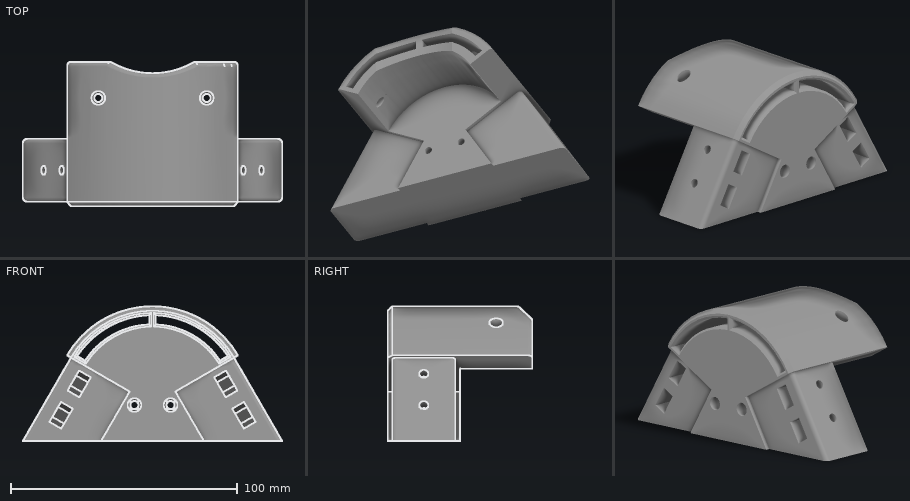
import cadquery as cq
import math

total_height = 59.71
total_length = 64.0
base_width = 114.81

shell_outer_radius = 44.0
shell_inner_radius = 32.0
shell_edge = 2.0
shell_end_angle = 30.0
shell_end_clearance = 0.25

slot_inner_radius = 36.0
slot_outer_radius = 40.0
slot_end_wall = 2.0
slot_mouth_chamfer = 1.0
centre_rib = 3.0

web_thickness = 32.0

arm_inner_distance = 12.0
arm_outer_distance = 42.0
arm_front = 2.0
arm_back = 30.0
arm_edge_radius = 2.0

arm_screw_diameter = 4.0
arm_screw_stations = (8.0, 24.0)
nut_sides = 6
nut_across_corners = 10.2
nut_slot_thickness = 6.0
nut_slot_distance = 33.0

screw_diameter = 3.5
screw_head_diameter = 6.0
web_screw_x = 8.0
web_screw_z = 15.95
web_screw_step_depth = 0.4
shell_screw_x = 24.0
shell_screw_y = 48.0
shell_screw_head_z = 39.6

saddle_radius = 37.0
saddle_bottom_y = 59.0

end_angle = math.radians(shell_end_angle)
radial = (math.cos(end_angle), math.sin(end_angle))
along_arm = (math.sin(end_angle), -math.cos(end_angle))
arc_middle_angle = (end_angle + math.pi / 2) / 2
arm_middle_y = (arm_front + arm_back) / 2
web_screw_head_depth = web_thickness / 2
margin = 1.0

axis_z = total_height - shell_outer_radius
axis_x = base_width / 2 - (arm_outer_distance + axis_z * radial[1]) / radial[0]


def side_point(distance, along):
    """(x, z) at a distance out along the radial line, then a distance down the arm."""
    x = axis_x + distance * radial[0] + along * along_arm[0]
    z = axis_z + distance * radial[1] + along * along_arm[1]
    return (x, z)


def foot_point(distance):
    """(x, z) where the line along the arm at this distance from the axis meets the base."""
    run = side_point(distance, 0)[1] / radial[0]
    return side_point(distance, run)


def arc_end(radius, offset):
    """(x, z) on an arc of the shell, at an offset above the radial line."""
    return side_point(math.sqrt(radius**2 - offset**2), -offset)


def arc_middle(radius):
    """(x, z) on an arc of the shell, halfway round."""
    x = axis_x + radius * math.cos(arc_middle_angle)
    z = axis_z + radius * math.sin(arc_middle_angle)
    return (x, z)


def arc_at_x(radius, x):
    """(x, z) where an arc of the shell reaches the given x near the crown."""
    return (x, axis_z + math.sqrt(radius**2 - (x - axis_x)**2))


def profile(y):
    """Drawing plane of constant y, with x and z as its coordinates."""
    return cq.Workplane("XZ", origin=(0, y, 0))


def prism(sketch, length):
    """Extrude a profile toward +Y."""
    return sketch.extrude(-length)


def arc_band(y, inner_radius, outer_radius, end_offset, start_x):
    """Curved strip between two arcs, from start_x near the crown to the radial end."""
    return (
        profile(y)
        .moveTo(*arc_end(inner_radius, end_offset))
        .lineTo(*arc_end(outer_radius, end_offset))
        .threePointArc(arc_middle(outer_radius), arc_at_x(outer_radius, start_x))
        .lineTo(*arc_at_x(inner_radius, start_x))
        .threePointArc(arc_middle(inner_radius), arc_end(inner_radius, end_offset))
        .close()
    )


def radial_plane(distance, along):
    """Plane facing out along the radial line, with local x down the arm and local y to the rear."""
    x, z = side_point(distance, along)
    origin = (x, arm_middle_y, z)
    down_arm = (along_arm[0], 0, along_arm[1])
    outward = (radial[0], 0, radial[1])
    return cq.Workplane(cq.Plane(origin=origin, xDir=down_arm, normal=outward))


def is_skin_curve(edge):
    """True for a curved edge that lies on the outer skin of the shell."""
    point = edge.positionAt(0.5)
    radius = math.hypot(point.x - axis_x, point.z - axis_z)
    return edge.geomType() != "LINE" and radius > shell_outer_radius - margin


def shell():
    """Half of the arched cover, scooped at the rear and eased along its outer skin."""
    band = arc_band(0, shell_inner_radius, shell_outer_radius, shell_end_clearance, 0)
    body = prism(band, total_length)
    saddle = (
        cq.Workplane("XY")
        .center(0, saddle_bottom_y + saddle_radius)
        .circle(saddle_radius)
        .extrude(total_height + margin)
    )
    body = body.cut(saddle)

    curves = [edge for edge in body.edges().vals() if is_skin_curve(edge)]
    front = [edge for edge in curves if edge.Center().y < web_thickness]
    body = body.newObject(front).chamfer(shell_edge)

    curves = [edge for edge in body.edges().vals() if is_skin_curve(edge)]
    rear = [edge for edge in curves if edge.Center().y > web_thickness]
    return body.newObject(rear).fillet(shell_edge)


def web():
    """Half of the thick plate that closes the front of the arch and reaches the base."""
    rim_radius = (slot_inner_radius + shell_inner_radius) / 2
    sketch = (
        profile(0)
        .moveTo(*arc_at_x(rim_radius, 0))
        .threePointArc(arc_middle(rim_radius), arc_end(rim_radius, shell_end_clearance))
        .lineTo(*side_point(arm_inner_distance, -shell_end_clearance))
        .lineTo(*foot_point(arm_inner_distance))
        .lineTo(0, 0)
        .close()
    )
    return prism(sketch, web_thickness)


def arm():
    """Slanted arm, cut level with the base and rounded along its outer long edges."""
    root_distance = arm_inner_distance - margin
    sketch = (
        profile(arm_front)
        .moveTo(*side_point(root_distance, -shell_end_clearance))
        .lineTo(*side_point(arm_outer_distance, -shell_end_clearance))
        .lineTo(*foot_point(arm_outer_distance))
        .lineTo(*foot_point(root_distance))
        .close()
    )
    body = prism(sketch, arm_back - arm_front)
    outward = cq.Vector(radial[0], 0, radial[1])
    down_arm = cq.Vector(along_arm[0], 0, along_arm[1])
    outer_face = body.faces(cq.selectors.DirectionMinMaxSelector(outward, True))
    return outer_face.edges(cq.selectors.ParallelDirSelector(down_arm)).fillet(arm_edge_radius)


def curved_slot():
    """Slot along the whole arch, flared at its front mouth."""
    def outline(y, flare):
        return arc_band(
            y,
            slot_inner_radius - flare,
            slot_outer_radius + flare,
            shell_end_clearance + slot_end_wall - flare,
            centre_rib / 2 - flare,
        )

    bore = prism(outline(0, 0), total_length)
    mouth = outline(0, slot_mouth_chamfer).val()
    throat = outline(slot_mouth_chamfer, 0).val()
    return bore.union(cq.Workplane(cq.Solid.makeLoft([mouth, throat], True)))


def arm_fastener(along):
    """Screw hole from the outer arm face into a hexagonal nut slot open at the front."""
    screw_length = arm_outer_distance - nut_slot_distance + margin
    screw_plane = radial_plane(nut_slot_distance, along)
    screw = screw_plane.circle(arm_screw_diameter / 2).extrude(screw_length)
    slot_plane = radial_plane(nut_slot_distance - nut_slot_thickness / 2, along)
    seat = slot_plane.polygon(nut_sides, nut_across_corners).extrude(nut_slot_thickness)
    entry = (
        slot_plane.center(0, -arm_middle_y / 2)
        .rect(nut_across_corners, arm_middle_y)
        .extrude(nut_slot_thickness)
    )
    return screw.union(seat).union(entry)


def web_screw():
    """Counterbored hole through the web, with two bridging steps under the head."""
    def at_screw():
        return profile(0).center(web_screw_x, web_screw_z)

    slit_depth = web_screw_head_depth + web_screw_step_depth
    square_depth = slit_depth + web_screw_step_depth
    hole = prism(at_screw().circle(screw_diameter / 2), web_thickness)
    head = prism(at_screw().circle(screw_head_diameter / 2), web_screw_head_depth)
    slit = prism(at_screw().rect(screw_diameter, screw_head_diameter), slit_depth)
    slit = slit.intersect(prism(at_screw().circle(screw_head_diameter / 2), slit_depth))
    square = prism(at_screw().rect(screw_diameter, screw_diameter), square_depth)
    return hole.union(head).union(slit).union(square)


def shell_screw():
    """Upright counterbored screw hole through the arch, behind the web."""
    base = cq.Workplane("XY", origin=(shell_screw_x, shell_screw_y, 0))
    hole = base.circle(screw_diameter / 2).extrude(total_height)
    head = (
        base.workplane(offset=shell_screw_head_z)
        .circle(screw_head_diameter / 2)
        .extrude(total_height - shell_screw_head_z)
    )
    return hole.union(head)


half = shell().union(web()).union(arm())
half = half.cut(curved_slot()).cut(web_screw()).cut(shell_screw())
for station in arm_screw_stations:
    half = half.cut(arm_fastener(station))

result = half.union(half.mirror("YZ"))